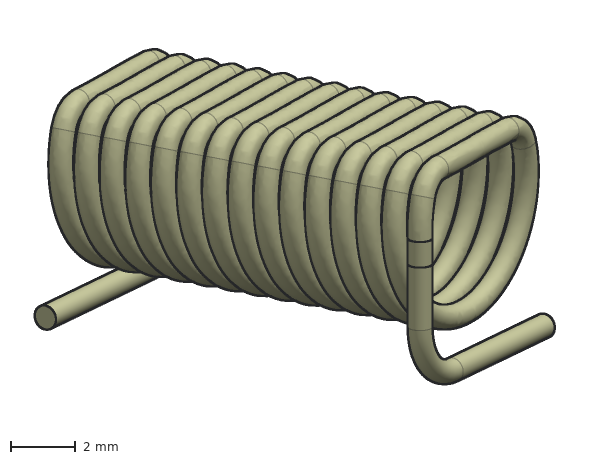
import cadquery as cq
import math


WIRE_DIAMETER = 0.78
OVERALL_LENGTH = 14.33
OVERALL_WIDTH = 7.75
OVERALL_HEIGHT = 7.49
FLAT_TOP_HEIGHT = 1.94
FLAT_HALF_LENGTH = 2.267
FULL_TURNS = 14
SHANK_LENGTH = 0.83
LEFT_BEND_RADIUS = 1.0
RIGHT_BEND_RADIUS = 1.9
LEFT_LEG_REACH = 3.65
RIGHT_LEG_REACH = 3.79

POINTS_PER_STRETCH = 13
ANGLE_STEP = 1e-5

FULL_CIRCLE = 2 * math.pi
wire_radius = WIRE_DIAMETER / 2
coil_radius = (OVERALL_WIDTH - WIRE_DIAMETER) / 2
coil_length = OVERALL_LENGTH - WIRE_DIAMETER
pitch = coil_length / (FULL_TURNS + 0.5)
leg_z = FLAT_TOP_HEIGHT + WIRE_DIAMETER - OVERALL_HEIGHT

corner_radius = (coil_radius**2 - FLAT_HALF_LENGTH**2 - FLAT_TOP_HEIGHT**2) / (
    2 * (coil_radius - FLAT_TOP_HEIGHT)
)
corner_centre_distance = coil_radius - corner_radius

round_end_angle = math.atan2(FLAT_TOP_HEIGHT - corner_radius, FLAT_HALF_LENGTH)
flat_start_angle = math.atan2(FLAT_TOP_HEIGHT, FLAT_HALF_LENGTH)


def centre_distance(angle):
    """Distance from the coil axis to the wire centre at an angle about the axis."""
    rise = math.asin(math.sin(angle))
    if rise <= round_end_angle:
        return coil_radius
    if rise >= flat_start_angle:
        return FLAT_TOP_HEIGHT / math.sin(rise)
    offset = rise - round_end_angle
    across = corner_centre_distance * math.sin(offset)
    return corner_centre_distance * math.cos(offset) + math.sqrt(corner_radius**2 - across**2)


def coil_point(angle):
    """Wire centre, which advances along X in proportion to the angle."""
    distance = centre_distance(angle)
    x = pitch * angle / FULL_CIRCLE
    return cq.Vector(x, distance * math.cos(angle), distance * math.sin(angle))


def coil_velocity(angle):
    """Derivative of the wire centre by the angle."""
    return (coil_point(angle + ANGLE_STEP) - coil_point(angle - ANGLE_STEP)) / (2 * ANGLE_STEP)


def centre_line(start, end):
    """One smooth stretch of the coil's centre line between two angles."""
    step = (end - start) / (POINTS_PER_STRETCH - 1)
    angles = [start + step * i for i in range(POINTS_PER_STRETCH)]
    edge = cq.Edge.makeSpline(
        [coil_point(angle) for angle in angles],
        tangents=[coil_velocity(start), coil_velocity(end)],
        parameters=angles,
        scale=False,
    )
    return cq.Wire.assembleEdges([edge])


def make_tube(start, end):
    """Round wire along one stretch; the guide keeps every section's plane parallel to X."""
    path = centre_line(start, end)
    guide = path.translate(cq.Vector(pitch, 0, 0))
    heading = coil_velocity(start)
    section = cq.Plane(coil_point(start), xDir=(1, 0, 0), normal=(0, heading.y, heading.z))
    return (
        cq.Workplane(section)
        .circle(wire_radius)
        .sweep(cq.Workplane(path), auxSpine=cq.Workplane(guide))
    )


def make_shank(x, side):
    """Short straight piece straight below one end of the coil; side is 1 at +Y and -1 at -Y."""
    return cq.Workplane("XY").center(x, side * coil_radius).circle(wire_radius).extrude(-SHANK_LENGTH)


def make_coil():
    """Coil from +Y at the left end to -Y at the right end, in one piece with its left shank."""
    turn_joints = (
        round_end_angle,
        flat_start_angle,
        math.pi - flat_start_angle,
        math.pi - round_end_angle,
    )
    joints = [0]
    for turn in range(FULL_TURNS + 1):
        joints += [FULL_CIRCLE * turn + angle for angle in turn_joints]
    joints.append(FULL_CIRCLE * (FULL_TURNS + 0.5))

    tubes = [make_tube(start, end) for start, end in zip(joints, joints[1:])]
    faces = [face for tube in tubes for face in tube.faces("not %PLANE").vals()]
    faces += make_shank(0, 1).faces("not >Z").vals()
    faces += tubes[-1].faces("<Z").vals()
    return cq.Workplane(cq.Solid.makeSolid(cq.Shell.makeShell(faces)))


def make_leg(x, side, bend_radius, reach):
    """Leg that goes down from its shank and bends across under the coil to the other side."""
    y = side * coil_radius
    arc_middle = bend_radius * (1 - math.sqrt(0.5))
    path = (
        cq.Workplane("YZ", origin=(x, 0, 0))
        .moveTo(y, -SHANK_LENGTH)
        .lineTo(y, leg_z + bend_radius)
        .threePointArc(
            (y - side * arc_middle, leg_z + arc_middle),
            (y - side * bend_radius, leg_z),
        )
        .lineTo(-side * reach, leg_z)
    )
    return cq.Workplane("XY", origin=(x, y, -SHANK_LENGTH)).circle(wire_radius).sweep(path)


coil = make_coil()

left_leg = make_leg(0, 1, LEFT_BEND_RADIUS, LEFT_LEG_REACH)
right_shank = make_shank(coil_length, -1)
right_leg = make_leg(coil_length, -1, RIGHT_BEND_RADIUS, RIGHT_LEG_REACH)

result = cq.Compound.makeCompound(
    [coil.val(), left_leg.val(), right_shank.val(), right_leg.val()]
)